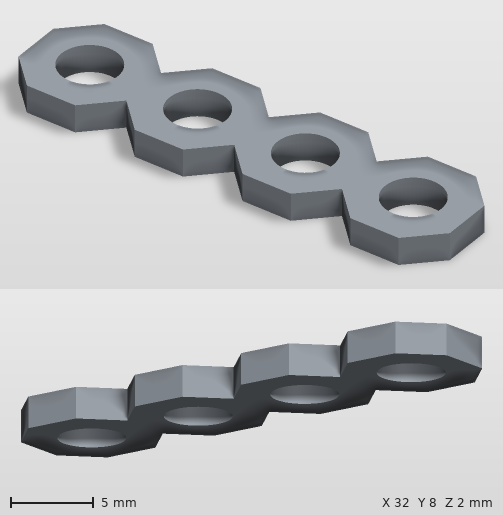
import cadquery as cq

cell_count = 4
cell_size = 8.0
thickness = 2.0
corner_cut = 2.2
hole_diameter = 4.15

strip_length = cell_count * cell_size
cell_centers = [
    (cell_size * (i + 0.5) - strip_length / 2, 0)
    for i in range(cell_count)
]


def octagon_cell(center):
    """Square plate with its four upright corners cut off."""
    return (
        cq.Workplane("XY")
        .center(*center)
        .rect(cell_size, cell_size)
        .extrude(thickness)
        .edges("|Z")
        .chamfer(corner_cut)
    )


strip = octagon_cell(cell_centers[0])
for center in cell_centers[1:]:
    strip = strip.union(octagon_cell(center))
strip = strip.clean()

holes = (
    cq.Workplane("XY")
    .pushPoints(cell_centers)
    .circle(hole_diameter / 2)
    .extrude(thickness)
)

result = strip.cut(holes)